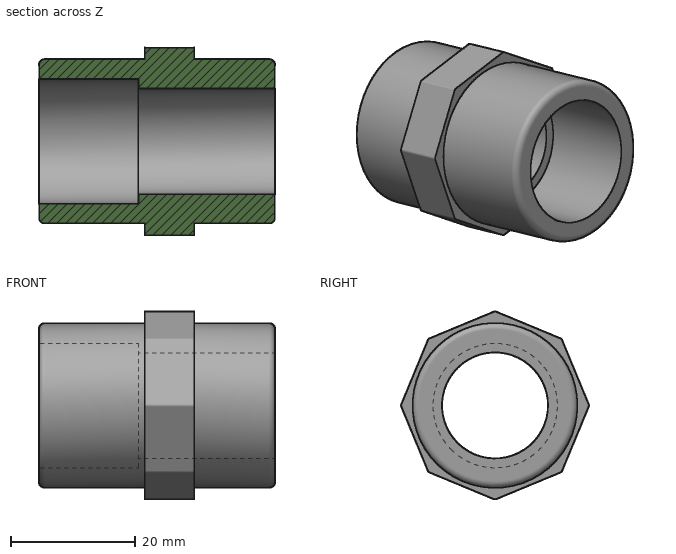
import cadquery as cq
import math

body_length = 38.0
body_diameter = 26.5
end_fillet = 1.0

collar_start = 17.0
collar_width = 8.0
collar_across_flats = 28.0
collar_sides = 8
collar_edge_fillet = 0.5
collar_across_corners = collar_across_flats / math.cos(math.pi / collar_sides)

bore_diameter = 17.0
socket_diameter = 20.0
socket_depth = 16.0

body_start = -body_length / 2


def section_plane(distance):
    """Plane across the axis, at a distance from the -X end face."""
    return cq.Workplane("YZ", origin=(body_start + distance, 0, 0))


def make_body():
    cylinder = section_plane(0).circle(body_diameter / 2).extrude(body_length)
    return cylinder.faces("<X or >X").edges().fillet(end_fillet)


def make_collar():
    prism = section_plane(collar_start).polygon(collar_sides, collar_across_corners).extrude(collar_width)
    return prism.edges("|X").fillet(collar_edge_fillet)


def make_bore():
    through_bore = section_plane(0).circle(bore_diameter / 2).extrude(body_length)
    socket = section_plane(0).circle(socket_diameter / 2).extrude(socket_depth)
    return through_bore.union(socket)


result = make_body().union(make_collar()).cut(make_bore())